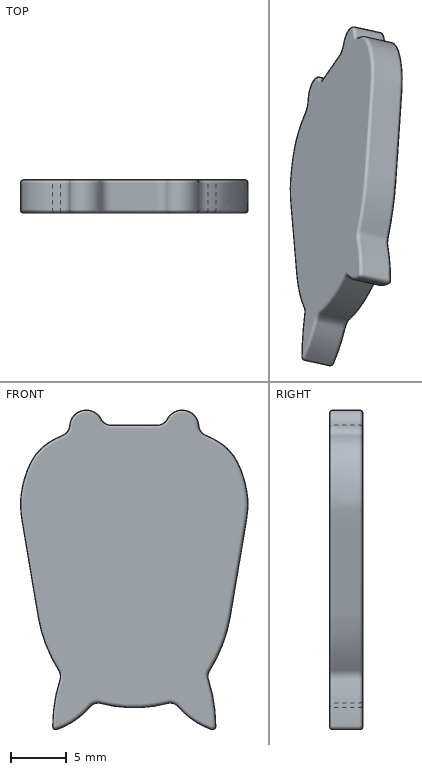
import cadquery as cq

thickness = 3.0
edge_radius = 0.3
blend_radius = 1.0

top_centre = (0.0, 13.0)
ear_inner = (2.80, 13.0)
ear_crown = (4.37, 14.35)
ear_outer = (5.72, 12.35)
shoulder_mid = (8.87, 10.31)
shoulder_side = (10.19, 6.40)
flank_top = (9.90, 3.40)
flank_bottom = (8.62, -4.20)
tail_outer = (6.52, -9.40)
tail_side_mid = (7.14, -11.80)
tail_tip = (7.32, -14.44)
tail_base_mid = (5.05, -13.30)
tail_inner = (3.60, -11.80)
belly_centre = (0.0, -12.37)

shoulder_start = (1.0, -0.35)
flank_direction = (flank_bottom[0] - flank_top[0], flank_bottom[1] - flank_top[1])

belly_drop = tail_inner[1] - belly_centre[1]
belly_radius = (tail_inner[0] ** 2 + belly_drop**2) / (2 * belly_drop)

inner_corners = [ear_inner, ear_outer, tail_outer, tail_inner]


def make_plate():
    """Extrude the mirrored outline with its corners still sharp."""
    half_outline = (
        cq.Workplane("XZ", origin=(0, thickness / 2, 0))
        .moveTo(*top_centre)
        .lineTo(*ear_inner)
        .threePointArc(ear_crown, ear_outer)
        .spline(
            [shoulder_mid, shoulder_side, flank_top],
            tangents=[shoulder_start, flank_direction],
            includeCurrent=True,
        )
        .lineTo(*flank_bottom)
        .tangentArcPoint(tail_outer, relative=False)
        .threePointArc(tail_side_mid, tail_tip)
        .threePointArc(tail_base_mid, tail_inner)
        .radiusArc(belly_centre, belly_radius)
    )
    return half_outline.mirrorY().extrude(thickness)


def round_corners(plate, corners, radius):
    """Round the through-thickness edges at the given points and their mirror images."""
    for x, z in corners:
        for side in (1, -1):
            edge = cq.selectors.NearestToPointSelector((side * x, 0, z))
            plate = plate.edges("|Y").edges(edge).fillet(radius)
    return plate


def round_faces(plate):
    """Round the rims of both broad faces."""
    return plate.faces("<Y or >Y").edges().fillet(edge_radius)


plate = make_plate()
plate = round_corners(plate, inner_corners, blend_radius)
plate = round_corners(plate, [tail_tip], edge_radius)
result = round_faces(plate)